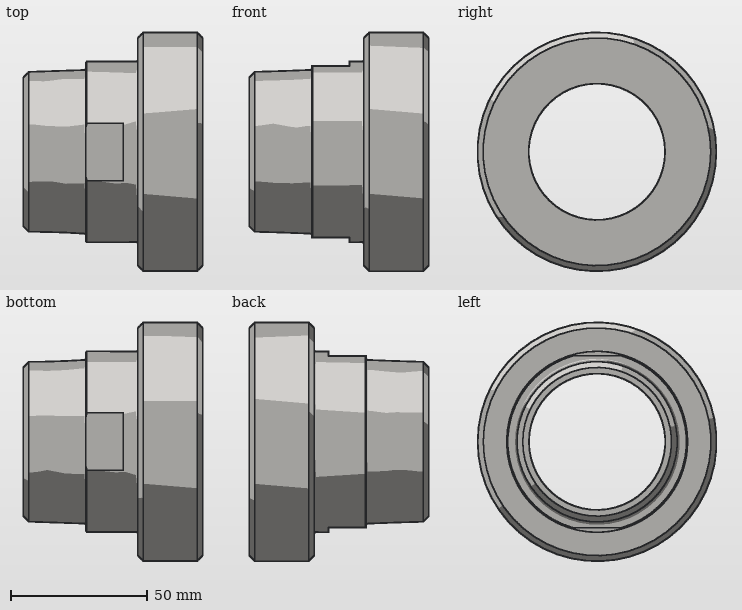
import cadquery as cq

total_length = 66.0
bore_diameter = 50.0
neck_diameter = 66.5
flange_diameter = 87.8
flange_thickness = 24.0
chamfer = 2.1
spigot_length = 23.0
spigot_tip_radius = 29.4
spigot_root_radius = 30.1
root_fillet = 0.5
neck_chamfer = 0.4
flat_height = 31.5
flat_length = 13.8

bore_radius = bore_diameter / 2
neck_radius = neck_diameter / 2
flange_radius = flange_diameter / 2
flange_start = total_length - flange_thickness


def turned_body():
    """Revolve the half section: tapered spigot, neck, flange and through bore."""
    fillet_dip = root_fillet * (1 - 0.5 ** 0.5)
    section = (
        cq.Workplane("XY")
        .moveTo(0, bore_radius)
        .lineTo(0, spigot_tip_radius - chamfer)
        .lineTo(chamfer, spigot_tip_radius)
        .lineTo(spigot_length - root_fillet, spigot_root_radius)
        .threePointArc(
            (spigot_length - fillet_dip, spigot_root_radius + fillet_dip),
            (spigot_length, spigot_root_radius + root_fillet),
        )
        .lineTo(spigot_length, neck_radius - neck_chamfer)
        .lineTo(spigot_length + neck_chamfer, neck_radius)
        .lineTo(flange_start - root_fillet, neck_radius)
        .threePointArc(
            (flange_start - fillet_dip, neck_radius + fillet_dip),
            (flange_start, neck_radius + root_fillet),
        )
        .lineTo(flange_start, flange_radius - chamfer)
        .lineTo(flange_start + chamfer, flange_radius)
        .lineTo(total_length - chamfer, flange_radius)
        .lineTo(total_length, flange_radius - chamfer)
        .lineTo(total_length, bore_radius)
        .close()
    )
    return section.revolve(360, (0, 0, 0), (1, 0, 0))


def flat_cutter(side):
    """Block that cuts the wrench flat on the +Z (side = 1) or -Z (side = -1) of the neck."""
    depth = neck_radius - flat_height
    return cq.Workplane("XY").box(flat_length, neck_diameter, 2 * depth).translate(
        (spigot_length + flat_length / 2, 0, side * (flat_height + depth))
    )


result = turned_body()
for side in (1, -1):
    result = result.cut(flat_cutter(side))